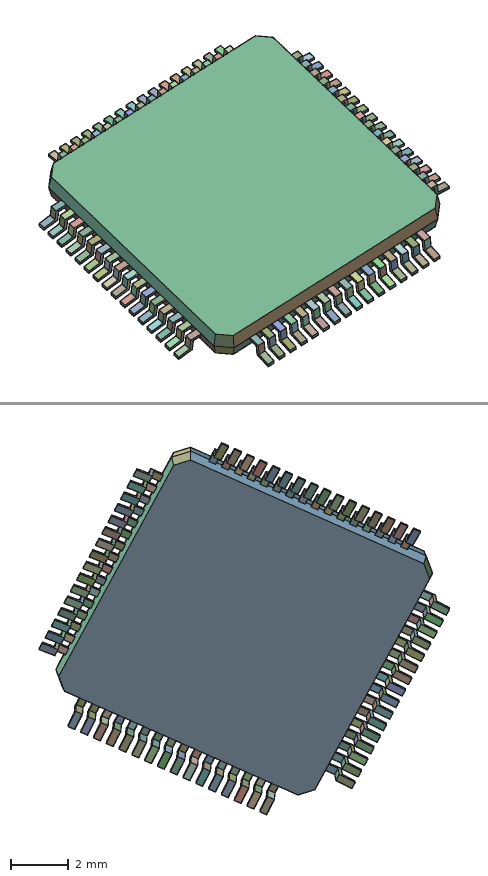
import cadquery as cq
import math

span = 12.23
height = 1.2

body_mid_width = 10.2
corner_cut = 0.5
draft_inset = 0.1
standoff = 0.15
parting_z = 0.65

leads_per_side = 16
lead_row_length = 7.5
lead_pitch = lead_row_length / (leads_per_side - 1)
lead_width = 0.27
lead_thickness = 0.12
shoulder_reach = 5.56
web_lean = 0.05
foot_rise = 0.07
tip_lean = 0.01
lead_embed = 0.25


def body_section(workplane, inset):
    """Square with cut corners, all eight sides moved inwards by the same inset."""
    a = body_mid_width / 2 - inset
    c = body_mid_width - corner_cut - math.sqrt(2) * inset - a
    corners = [(a, -c), (a, c), (c, a), (-c, a), (-a, c), (-a, -c), (-c, -a), (c, -a)]
    return workplane.polyline(corners).close()


def body_half(face_z):
    """Drafted half of the body between the parting plane and one flat face."""
    middle = body_section(cq.Workplane("XY", origin=(0, 0, parting_z)), 0)
    face_plane = middle.workplane(offset=face_z - parting_z)
    return body_section(face_plane, draft_inset).loft(ruled=True)


def make_lead():
    """Lead pointing along +X: flat shoulder, leaning web and a foot sloping down to its tip."""
    tip = span / 2
    root = body_mid_width / 2 - lead_embed
    heel_outer = shoulder_reach + web_lean
    heel_inner = heel_outer - lead_thickness
    profile = [
        (root, parting_z),
        (shoulder_reach, parting_z),
        (heel_outer, foot_rise + lead_thickness),
        (tip - tip_lean, lead_thickness),
        (tip, 0),
        (heel_inner, foot_rise),
        (shoulder_reach - lead_thickness, parting_z - lead_thickness),
        (root, parting_z - lead_thickness),
    ]
    return cq.Workplane("XZ").polyline(profile).close().extrude(lead_width / 2, both=True)


def lead_row():
    """Evenly spaced leads along the +X side, centred on Y = 0."""
    lead = make_lead()
    row = cq.Workplane("XY")
    for index in range(leads_per_side):
        y = index * lead_pitch - lead_row_length / 2
        row = row.add(lead.translate((0, y, 0)))
    return row


result = body_half(standoff).union(body_half(height))

side_leads = lead_row()
for angle in (0, 90, 180, 270):
    for lead in side_leads.rotate((0, 0, 0), (0, 0, 1), angle).vals():
        result = result.union(cq.Workplane(lead))